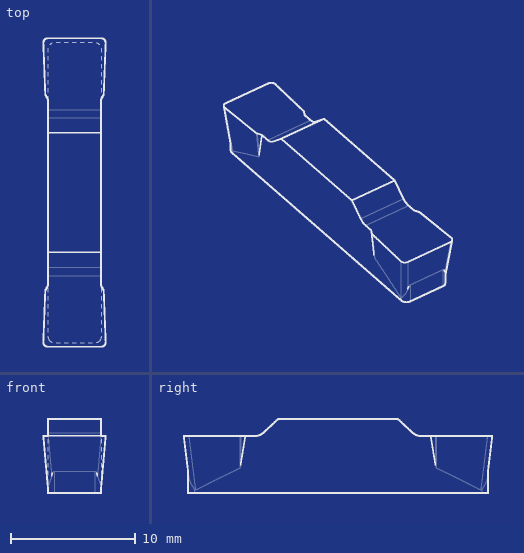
import cadquery as cq
import math

length = 24.88
body_width = 4.28
body_end_inset = 0.35
body_corner_radius = 0.5
height = 5.97
seat_height = 4.6

ridge_length = 9.65
ridge_slope = 43.0
ridge_foot_radius = 1.0

head_width = 5.08
head_back_width = 4.73
head_corner_radius = 0.4
head_length = 4.55
neck_length = 0.42
neck_corner_radius = 0.2
side_relief = 5.0
end_relief = 7.0


def make_body():
    """Rounded bar whose seats at both ends lie below a sloped ridge."""
    half_length = length / 2 - body_end_inset
    half_ridge = ridge_length / 2
    ridge_foot = half_ridge + (height - seat_height) / math.tan(math.radians(ridge_slope))
    bar = (
        cq.Workplane("YZ")
        .polyline([
            (-half_length, 0),
            (half_length, 0),
            (half_length, seat_height),
            (ridge_foot, seat_height),
            (half_ridge, height),
            (-half_ridge, height),
            (-ridge_foot, seat_height),
            (-half_length, seat_height),
        ])
        .close()
        .extrude(body_width / 2, both=True)
    )
    for foot_y in (-ridge_foot, ridge_foot):
        foot = cq.selectors.NearestToPointSelector((0, foot_y, seat_height))
        bar = bar.edges(foot).fillet(ridge_foot_radius)
    return bar.edges("|Z").fillet(body_corner_radius)


def head_outline(drop):
    """Corner points of the +Y head at a given depth below the seat."""
    side_inset = drop * math.tan(math.radians(side_relief))
    end_y = length / 2 - drop * math.tan(math.radians(end_relief))
    back_y = length / 2 - head_length
    neck_y = back_y - neck_length
    right_side = [
        (body_width / 2 - side_inset, neck_y),
        (head_back_width / 2 - side_inset, back_y),
        (head_width / 2 - side_inset, end_y),
    ]
    left_side = [(-x, y) for x, y in reversed(right_side)]
    return right_side + left_side


def make_head():
    """Head at the +Y end, relieved downwards on its sides and its end."""
    head = (
        cq.Workplane("XY")
        .polyline(head_outline(seat_height))
        .close()
        .workplane(offset=seat_height)
        .polyline(head_outline(0))
        .close()
        .loft(ruled=True)
    )
    corners = (
        (head_width, length / 2, end_relief, head_corner_radius),
        (head_back_width, length / 2 - head_length, 0, neck_corner_radius),
    )
    mid_drop = seat_height / 2
    for width, seat_y, y_relief, radius in corners:
        x = width / 2 - mid_drop * math.tan(math.radians(side_relief))
        y = seat_y - mid_drop * math.tan(math.radians(y_relief))
        for side in (-1, 1):
            corner = cq.selectors.NearestToPointSelector((side * x, y, mid_drop))
            head = head.edges(corner).fillet(radius)
    return head


head = make_head()
result = make_body().union(head).union(head.mirror("XZ")).clean()